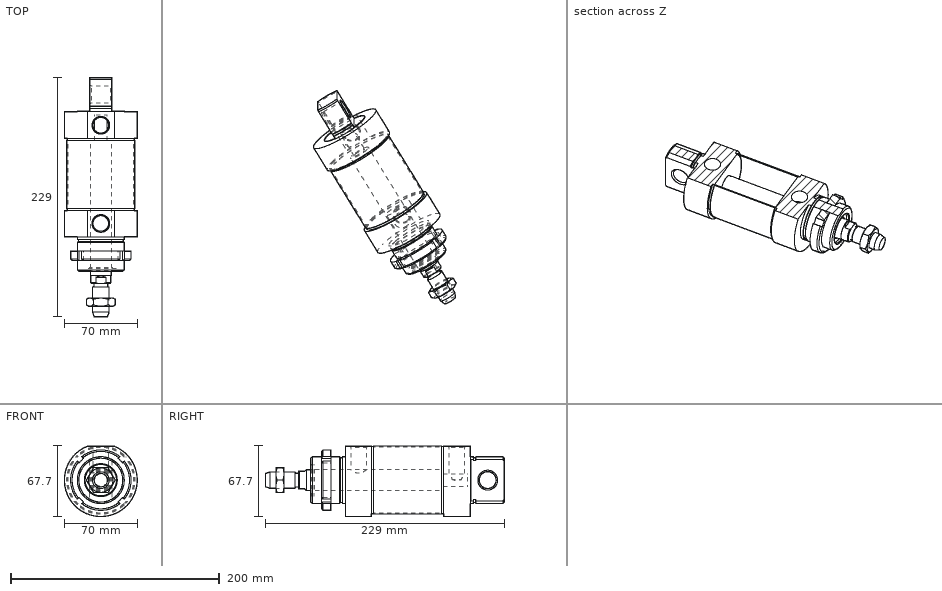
import cadquery as cq
import math


CAP_DIAMETER = 70.0
FRONT_CAP_LENGTH = 25.0
REAR_CAP_LENGTH = 25.6
CAP_FLAT_HEIGHT = 32.5
BARREL_DIAMETER = 65.4
BARREL_BORE = 63.0
BARREL_LENGTH = 65.4
NECK_DIAMETER = 64.5
NECK_LENGTH = 1.9
EDGE_CHAMFER = 1.5

PORT_DIAMETER = 14.95
PORT_MOUTH_DIAMETER = 17.0
PORT_TIP_ANGLE = 118.0
PORT_SHOULDER_HEIGHT = 0.5
FRONT_PORT_OFFSET = 12.75
REAR_PORT_OFFSET = 13.0

THREAD_DIAMETER = 45.0
RELIEF_DIAMETER = 43.0
RELIEF_START = 2.85
RELIEF_LENGTH = 1.9
RELIEF_RUNOUT = 0.7
COLLAR_LENGTH = 33.2
RECESS_DIAMETER = 30.0
RECESS_DEPTH = 3.0
RECESS_CHAMFER = 0.8
ROD_CLEARANCE_DIAMETER = 22.0
ROD_CLEARANCE_DEPTH = 0.6

TONGUE_LENGTH = 32.5
TONGUE_THICKNESS = 21.3
TONGUE_ROOT = 0.5
PIN_HOLE_DIAMETER = 16.0
PIN_HOLE_MOUTH_DIAMETER = 19.0
PIN_HOLE_FROM_END = 16.0

ROD_DIAMETER = 20.0
ROD_OVERHANG = 76.7
ROD_STEP = 37.2
ROD_SHOULDER = 44.7
ROD_THREAD_START = 48.0
WRENCH_DIAMETER = 19.5
WRENCH_FLATS = 17.0
WRENCH_FLATS_START = 38.9
SHOULDER_CHAMFER = 0.7
ROD_THREAD_DIAMETER = 16.0
ROD_RELIEF_DIAMETER = 13.5
ROD_RELIEF_FILLET = 0.5
ROD_TIP_DIAMETER = 12.8
ROD_TIP_LENGTH = 4.5
SPIGOT_DIAMETER = 12.0
SPIGOT_END_WALL = 3.0

ROD_NUT_FLATS = 24.0
ROD_NUT_THICKNESS = 8.0
ROD_NUT_START = 58.6
ROD_NUT_FACE_DIAMETER = 23.4
ROD_NUT_CHAMFER_ANGLE = 30.0

MOUNT_NUT_DIAMETER = 58.0
MOUNT_NUT_THICKNESS = 9.0
MOUNT_NUT_START = 13.8
MOUNT_NUT_SLOTS = 4
MOUNT_NUT_SLOT_WIDTH = 6.0
MOUNT_NUT_SLOT_RADIUS = 26.5

cap_neck_y = FRONT_CAP_LENGTH
barrel_front_y = cap_neck_y + NECK_LENGTH
barrel_rear_y = barrel_front_y + BARREL_LENGTH
rear_cap_front_y = barrel_rear_y + NECK_LENGTH
rear_cap_rear_y = rear_cap_front_y + REAR_CAP_LENGTH
tongue_end_y = rear_cap_rear_y + TONGUE_LENGTH
spigot_end_y = rear_cap_rear_y - SPIGOT_END_WALL


def turned(profile):
    """Solid of revolution about the Y axis from (diameter, y) points running along its outside."""
    outline = [(0, profile[0][1])]
    outline += [(diameter / 2, y) for diameter, y in profile]
    outline += [(0, profile[-1][1])]
    return cq.Workplane("XY").polyline(outline).close().revolve(360, (0, 0, 0), (0, 1, 0))


def collar_profile(face_y, direction, length):
    """Collar points from the cap face outwards: plain part, thread relief, thread, end chamfer."""
    relief_start = RELIEF_START
    relief_end = relief_start + RELIEF_LENGTH
    steps = [
        (THREAD_DIAMETER, 0),
        (THREAD_DIAMETER, relief_start),
        (RELIEF_DIAMETER, relief_start),
        (RELIEF_DIAMETER, relief_end),
        (THREAD_DIAMETER, relief_end + RELIEF_RUNOUT),
        (THREAD_DIAMETER, length - EDGE_CHAMFER),
        (THREAD_DIAMETER - 2 * EDGE_CHAMFER, length),
    ]
    return [(diameter, face_y + direction * distance) for diameter, distance in steps]


def cut_port(cap, port_y):
    """Flat on top of the cap with a chamfered, drill-pointed port hole sunk into it."""
    flat_cutter = cq.Workplane("XY").box(
        CAP_DIAMETER, CAP_DIAMETER, CAP_DIAMETER, centered=(True, True, False)
    ).translate((0, port_y, CAP_FLAT_HEIGHT))
    radius = PORT_DIAMETER / 2
    mouth_radius = PORT_MOUTH_DIAMETER / 2
    mouth_depth = mouth_radius - radius
    tip_depth = radius / math.tan(math.radians(PORT_TIP_ANGLE / 2))
    hole = (
        cq.Workplane("XZ")
        .moveTo(0, CAP_FLAT_HEIGHT)
        .lineTo(mouth_radius, CAP_FLAT_HEIGHT)
        .lineTo(radius, CAP_FLAT_HEIGHT - mouth_depth)
        .lineTo(radius, PORT_SHOULDER_HEIGHT)
        .lineTo(0, PORT_SHOULDER_HEIGHT - tip_depth)
        .close()
        .revolve(360, (0, 0, 0), (0, 1, 0))
        .translate((0, port_y, 0))
    )
    return cap.cut(flat_cutter).cut(hole)


def make_front_cap():
    cap = turned(
        collar_profile(0, -1, COLLAR_LENGTH)[::-1]
        + [
            (CAP_DIAMETER, 0),
            (CAP_DIAMETER, cap_neck_y),
            (NECK_DIAMETER, cap_neck_y),
            (NECK_DIAMETER, barrel_front_y),
        ]
    )
    recess = turned(
        [
            (RECESS_DIAMETER + 2 * RECESS_CHAMFER, -COLLAR_LENGTH),
            (RECESS_DIAMETER, -COLLAR_LENGTH + RECESS_CHAMFER),
            (RECESS_DIAMETER, -COLLAR_LENGTH + RECESS_DEPTH),
        ]
    )
    recess_floor_y = -COLLAR_LENGTH + RECESS_DEPTH
    clearance = turned(
        [
            (ROD_CLEARANCE_DIAMETER, recess_floor_y),
            (ROD_CLEARANCE_DIAMETER, recess_floor_y + ROD_CLEARANCE_DEPTH),
        ]
    )
    rod_bore = turned([(ROD_DIAMETER, -COLLAR_LENGTH), (ROD_DIAMETER, barrel_front_y)])
    return cut_port(cap, FRONT_PORT_OFFSET).cut(recess).cut(clearance).cut(rod_bore)


def make_barrel():
    tube = turned([(BARREL_DIAMETER, barrel_front_y), (BARREL_DIAMETER, barrel_rear_y)])
    bore = turned([(BARREL_BORE, barrel_front_y), (BARREL_BORE, barrel_rear_y)])
    return tube.cut(bore)


def make_rear_cap():
    cap = turned(
        [
            (NECK_DIAMETER, barrel_rear_y),
            (NECK_DIAMETER, rear_cap_front_y),
            (CAP_DIAMETER, rear_cap_front_y),
            (CAP_DIAMETER, rear_cap_rear_y),
        ]
        + collar_profile(rear_cap_rear_y, 1, TONGUE_LENGTH)
    )
    tongue_root_y = rear_cap_rear_y + TONGUE_ROOT
    for side in (-1, 1):
        flank_cutter = cq.Workplane("XY").box(
            THREAD_DIAMETER, TONGUE_LENGTH, THREAD_DIAMETER, centered=(True, False, True)
        ).translate((side * (TONGUE_THICKNESS + THREAD_DIAMETER) / 2, tongue_root_y, 0))
        cap = cap.cut(flank_cutter)
    spigot_bore = turned([(SPIGOT_DIAMETER, barrel_rear_y), (SPIGOT_DIAMETER, spigot_end_y)])
    cap = cut_port(cap, rear_cap_rear_y - REAR_PORT_OFFSET).cut(spigot_bore)
    return cap.cut(make_pin_hole())


def make_pin_hole():
    """Cross hole for the clevis pin, chamfered where it leaves the tongue flanks."""
    half = TONGUE_THICKNESS / 2
    radius = PIN_HOLE_DIAMETER / 2
    mouth_radius = PIN_HOLE_MOUTH_DIAMETER / 2
    straight = half - (mouth_radius - radius)
    return (
        cq.Workplane("XZ")
        .polyline(
            [
                (-half, 0),
                (-half, mouth_radius),
                (-straight, radius),
                (straight, radius),
                (half, mouth_radius),
                (half, 0),
            ]
        )
        .close()
        .revolve(360, (0, 0, 0), (1, 0, 0))
        .translate((0, tongue_end_y - PIN_HOLE_FROM_END, 0))
    )


def round_relief_corners(rod):
    """Fillet both inside corners of the thread relief behind the rod thread."""
    near_relief = cq.selectors.BoxSelector(
        (-ROD_RELIEF_DIAMETER, -ROD_THREAD_START - ROD_RELIEF_FILLET, -ROD_RELIEF_DIAMETER),
        (ROD_RELIEF_DIAMETER, -ROD_SHOULDER + ROD_RELIEF_FILLET, ROD_RELIEF_DIAMETER),
    )
    corner = cq.selectors.RadiusNthSelector(0)
    return rod.edges("%CIRCLE").edges(near_relief).edges(corner).fillet(ROD_RELIEF_FILLET)


def make_rod():
    rod = turned(
        [
            (ROD_TIP_DIAMETER, -ROD_OVERHANG),
            (ROD_THREAD_DIAMETER, -ROD_OVERHANG + ROD_TIP_LENGTH),
            (ROD_THREAD_DIAMETER, -ROD_THREAD_START),
            (ROD_RELIEF_DIAMETER, -ROD_THREAD_START),
            (ROD_RELIEF_DIAMETER, -ROD_SHOULDER),
            (WRENCH_DIAMETER - 2 * SHOULDER_CHAMFER, -ROD_SHOULDER),
            (WRENCH_DIAMETER, -ROD_SHOULDER + SHOULDER_CHAMFER),
            (WRENCH_DIAMETER, -ROD_STEP),
            (ROD_DIAMETER, -ROD_STEP),
            (ROD_DIAMETER, barrel_rear_y),
            (SPIGOT_DIAMETER, barrel_rear_y),
            (SPIGOT_DIAMETER, spigot_end_y),
        ]
    )
    rod = round_relief_corners(rod)
    flat_height = WRENCH_FLATS / 2
    runout = (ROD_DIAMETER - WRENCH_FLATS) / 2
    flat_cutter = (
        cq.Workplane("YZ")
        .polyline(
            [
                (-ROD_SHOULDER, flat_height),
                (-WRENCH_FLATS_START, flat_height),
                (-WRENCH_FLATS_START + runout, flat_height + runout),
                (-ROD_SHOULDER, flat_height + runout),
            ]
        )
        .close()
        .extrude(ROD_DIAMETER / 2, both=True)
    )
    return rod.cut(flat_cutter).cut(flat_cutter.mirror("XY"))


def make_rod_nut():
    """Hexagon nut with two faces square to Z, both ends chamfered."""
    near_y = -ROD_NUT_START
    far_y = near_y - ROD_NUT_THICKNESS
    corner_diameter = ROD_NUT_FLATS / math.cos(math.pi / 6)
    hexagon = (
        cq.Workplane("XZ", origin=(0, near_y, 0))
        .polygon(6, corner_diameter)
        .extrude(ROD_NUT_THICKNESS)
    )
    drop = (corner_diameter - ROD_NUT_FACE_DIAMETER) / 2 * math.tan(math.radians(ROD_NUT_CHAMFER_ANGLE))
    envelope = turned(
        [
            (ROD_NUT_FACE_DIAMETER, far_y),
            (corner_diameter, far_y + drop),
            (corner_diameter, near_y - drop),
            (ROD_NUT_FACE_DIAMETER, near_y),
        ]
    )
    thread = turned([(ROD_THREAD_DIAMETER, far_y), (ROD_THREAD_DIAMETER, near_y)])
    return hexagon.intersect(envelope).cut(thread)


def make_mount_nut():
    """Round nut with slots on the diagonals and a chamfer on its front rim."""
    near_y = -MOUNT_NUT_START
    far_y = near_y - MOUNT_NUT_THICKNESS
    nut = turned(
        [
            (MOUNT_NUT_DIAMETER - 2 * EDGE_CHAMFER, far_y),
            (MOUNT_NUT_DIAMETER, far_y + EDGE_CHAMFER),
            (MOUNT_NUT_DIAMETER, near_y),
        ]
    )
    nut = nut.cut(turned([(THREAD_DIAMETER, far_y), (THREAD_DIAMETER, near_y)]))
    slot = cq.Workplane("XY").box(
        MOUNT_NUT_DIAMETER, MOUNT_NUT_THICKNESS, MOUNT_NUT_SLOT_WIDTH, centered=(False, False, True)
    ).translate((MOUNT_NUT_SLOT_RADIUS, far_y, 0))
    pitch = 360 / MOUNT_NUT_SLOTS
    for index in range(MOUNT_NUT_SLOTS):
        nut = nut.cut(slot.rotate((0, 0, 0), (0, 1, 0), (index + 0.5) * pitch))
    return nut


front_cap = make_front_cap()
barrel = make_barrel()
rear_cap = make_rear_cap()
rod = make_rod()
rod_nut = make_rod_nut()
mount_nut = make_mount_nut()

result = cq.Compound.makeCompound(
    [
        front_cap.val(),
        barrel.val(),
        rear_cap.val(),
        rod.val(),
        rod_nut.val(),
        mount_nut.val(),
    ]
)